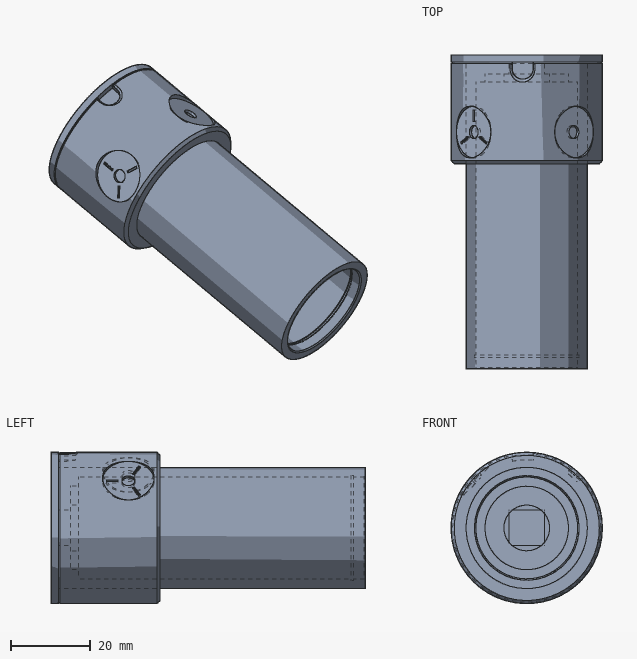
import cadquery as cq

total_length = 78.98
head_length = 27.4
head_radius = 38.1 / 2
barrel_radius = 30.5 / 2
cap_thickness = 1.8
tilt = -3.3

sleeve_front_chamfer = 0.8
sleeve_rear_chamfer = 0.4
floor_radius = 17.15

mouth_radius = 26.29 / 2
bore_radius = 25.6 / 2
mouth_chamfer = mouth_radius - bore_radius
groove_radius = 26.39 / 2
groove_start = 2.9
groove_width = 0.65

sensor_width = 8.95
sensor_thickness = 3.0
ring_radius = 21.0 / 2
ring_thickness = 2.0
aperture_radius = 11.5 / 2
sensor_front = cap_thickness + sensor_thickness
bore_end = sensor_front + ring_thickness

flat_radius = 13.0 / 2
flat_distance = 17.85
flat_position = 19.4
slotted_flat_angle = tilt - 45
plain_flat_angle = tilt + 45
flat_hole_radius = 3.3 / 2

slot_count = 3
slot_inner = 2.6
slot_outer = 5.55
slot_width = 0.5
slot_depth = 0.5

notch_radius = 2.65
notch_straight = 1.65
notch_chamfer = 0.75


def around_axis(shape, angle):
    """Turn a shape made on the +Z side about the tube axis."""
    return shape.rotate((0, 0, 0), (0, 1, 0), angle)


def axial_cylinder(radius, start, end):
    """Cylinder on the tube axis between two distances from the back."""
    return cq.Workplane("XZ", origin=(0, -start, 0)).circle(radius).extrude(end - start)


def turned(profile):
    """Solid of revolution about the tube axis from (radius, Y) points."""
    return cq.Workplane("XY").polyline(profile).close().revolve(360, (0, 0, 0), (0, 1, 0))


def make_barrel():
    """Straight barrel, bored from the mouth and pocketed from the back for the sensor."""
    groove_front = -total_length + groove_start
    groove_back = groove_front + groove_width
    barrel = turned(
        [
            (0, -cap_thickness),
            (barrel_radius, -cap_thickness),
            (barrel_radius, -total_length),
            (mouth_radius, -total_length),
            (bore_radius, -total_length + mouth_chamfer),
            (bore_radius, groove_front),
            (groove_radius, groove_front),
            (groove_radius, groove_back),
            (bore_radius, groove_back),
            (bore_radius, -bore_end),
            (0, -bore_end),
        ]
    )
    ring_recess = axial_cylinder(ring_radius, sensor_front, bore_end)
    return barrel.cut(ring_recess).cut(make_sensor())


def make_flat():
    """Cutter for a round flat and the hole at its centre."""
    center = (0, -flat_position, flat_distance)
    flat = cq.Workplane("XY", origin=center).circle(flat_radius).extrude(head_radius - flat_distance)
    hole = cq.Workplane("XY", origin=center).circle(flat_hole_radius).extrude(barrel_radius - flat_distance)
    return flat.union(hole.cut(axial_cylinder(floor_radius, 0, head_length)))


def make_slots():
    """Cutters for the radial slots, the first one toward the back."""
    slots = cq.Workplane("XY")
    for index in range(slot_count):
        slot = (
            cq.Workplane("XY", origin=(0, -flat_position, flat_distance))
            .center(0, (slot_inner + slot_outer) / 2)
            .rect(slot_width, slot_outer - slot_inner)
            .extrude(-slot_depth)
            .rotate((0, -flat_position, 0), (0, -flat_position, 1), index * 360 / slot_count)
        )
        slots = slots.add(slot)
    return slots.combine()


def notch_outline(radius, height):
    """U outline open toward the cap."""
    arc_center = -cap_thickness - notch_straight
    return (
        cq.Workplane("XY", origin=(0, 0, height))
        .moveTo(-radius, -cap_thickness)
        .lineTo(-radius, arc_center)
        .threePointArc((0, arc_center - radius), (radius, arc_center))
        .lineTo(radius, -cap_thickness)
        .close()
    )


def make_notch():
    """Cutter for the U-shaped notch with a sloped rim."""
    walls = notch_outline(notch_radius, barrel_radius).extrude(head_radius - barrel_radius)
    walls = walls.cut(axial_cylinder(floor_radius, 0, head_length))
    rim = notch_outline(notch_radius + notch_chamfer, head_radius).extrude(-notch_chamfer, taper=45)
    return walls.union(rim)


def make_sleeve():
    """Thick collar on the rear end of the barrel, with two flats and a notch."""
    sleeve = turned(
        [
            (barrel_radius, -cap_thickness),
            (head_radius - sleeve_rear_chamfer, -cap_thickness),
            (head_radius, -cap_thickness - sleeve_rear_chamfer),
            (head_radius, -head_length + sleeve_front_chamfer),
            (head_radius - sleeve_front_chamfer, -head_length),
            (barrel_radius, -head_length),
        ]
    )
    for angle in (slotted_flat_angle, plain_flat_angle):
        sleeve = sleeve.cut(around_axis(make_flat(), angle))
    sleeve = sleeve.cut(around_axis(make_slots(), slotted_flat_angle))
    return sleeve.cut(around_axis(make_notch(), tilt))


def make_cap():
    """Round cap over the back of the sleeve and the barrel."""
    return axial_cylinder(head_radius, 0, cap_thickness)


def make_sensor():
    """Square block between the cap and the aperture ring, its corners behind the ring."""
    return (
        cq.Workplane("XZ", origin=(0, -cap_thickness, 0))
        .rect(sensor_width, sensor_width)
        .extrude(sensor_thickness)
    )


def make_aperture_ring():
    """Flat ring set flush in the floor of the bore, in front of the sensor."""
    ring = axial_cylinder(ring_radius, sensor_front, bore_end)
    return ring.cut(axial_cylinder(aperture_radius, sensor_front, bore_end))


barrel = make_barrel()
sleeve = make_sleeve()
cap = make_cap()
sensor = make_sensor()
aperture_ring = make_aperture_ring()

result = cq.Compound.makeCompound(
    [barrel.val(), sleeve.val(), cap.val(), sensor.val(), aperture_ring.val()]
)